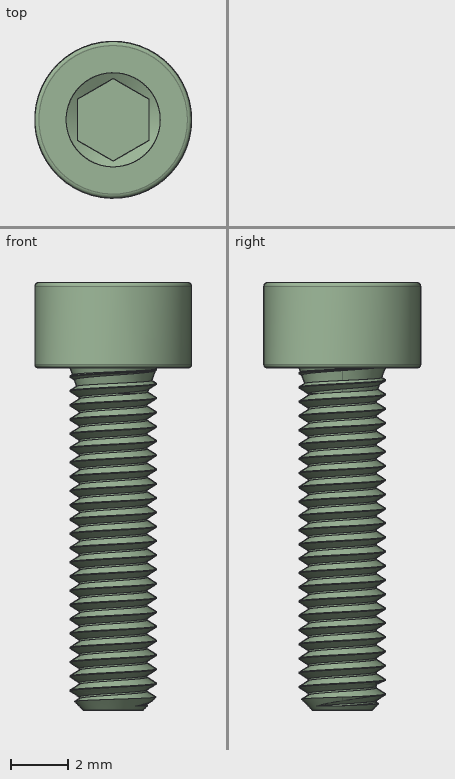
import cadquery as cq
import math

total_length = 15.0
head_diameter = 5.5
head_height = 3.0
head_top_round = 0.15
head_bottom_round = 0.12

thread_diameter = 3.03
root_diameter = 2.38
pitch = total_length / 30
crest_width = 0.03
root_width = 0.06
cutter_overshoot = 0.02
tip_diameter = 2.08
tip_chamfer_height = 0.48
groove_start_below_tip = 0.81
neck_height = 1.05
neck_end_diameter = 2.28

hex_across_flats = 2.5
socket_depth = 1.5
countersink_diameter = 3.3
countersink_slope = 30.0
corner_turn = 30

head_bottom = total_length - head_height
thread_radius = thread_diameter / 2
thread_depth = (thread_diameter - root_diameter) / 2
flank_rise = (pitch - crest_width - root_width) / 2
root_half_width = root_width / 2
groove_run_past_head = pitch


def make_head():
    head = cq.Workplane("XY").workplane(offset=head_bottom).circle(head_diameter / 2).extrude(head_height)
    head = head.faces(">Z").edges().fillet(head_top_round)
    return head.faces("<Z").edges().fillet(head_bottom_round)


def make_threaded_bar():
    """Threaded bar longer than the shank, so that both groove ends fall outside the finished shank."""
    bar_start = -groove_start_below_tip - pitch
    bar_end = head_bottom + groove_run_past_head + 2 * pitch
    bar = cq.Workplane("XY").workplane(offset=bar_start).circle(thread_radius).extrude(bar_end - bar_start)
    return bar.cut(make_groove())


def make_shank_envelope():
    """Shank at the crest diameter with a conical tip."""
    outline = [
        (0, 0),
        (tip_diameter / 2, 0),
        (thread_radius, tip_chamfer_height),
        (thread_radius, head_bottom),
        (0, head_bottom),
    ]
    return cq.Workplane("XZ").polyline(outline).close().revolve(360, (0, 0), (0, 1))


def make_groove():
    """V-shaped right-hand groove that runs past both ends of the shank."""
    root_radius = root_diameter / 2
    outer_radius = thread_radius + cutter_overshoot
    outer_half_width = root_half_width + flank_rise * (outer_radius - root_radius) / thread_depth
    profile = [
        (root_radius, -root_half_width),
        (outer_radius, -outer_half_width),
        (outer_radius, outer_half_width),
        (root_radius, root_half_width),
    ]
    groove_height = groove_start_below_tip + head_bottom + groove_run_past_head
    path = cq.Wire.makeHelix(pitch, groove_height, root_radius)
    groove = cq.Workplane("XZ").polyline(profile).close().sweep(cq.Workplane(path), isFrenet=True)
    return groove.translate((0, 0, -groove_start_below_tip))


def make_neck():
    """Cone under the head that gradually fills the last turns of the groove."""
    outline = [
        (0, head_bottom - neck_height),
        (neck_end_diameter / 2, head_bottom - neck_height),
        (thread_radius, head_bottom),
        (0, head_bottom),
    ]
    return cq.Workplane("XZ").polyline(outline).close().revolve(360, (0, 0), (0, 1))


def make_socket():
    """Hexagonal socket, corners on the Y axis, with a conical lead-in."""
    hexagon = (
        cq.Workplane("XY")
        .workplane(offset=total_length - socket_depth)
        .polygon(6, hex_across_flats / math.cos(math.pi / 6))
        .extrude(socket_depth)
        .rotate((0, 0, 0), (0, 0, 1), corner_turn)
    )
    mouth_radius = countersink_diameter / 2
    cone_depth = mouth_radius * math.tan(math.radians(countersink_slope))
    lead_in = (
        cq.Workplane("XZ")
        .polyline([(0, total_length), (mouth_radius, total_length), (0, total_length - cone_depth)])
        .close()
        .revolve(360, (0, 0), (0, 1))
    )
    return hexagon.union(lead_in)


threaded_shank = make_threaded_bar().intersect(make_shank_envelope()).union(make_neck())
result = threaded_shank.union(make_head()).cut(make_socket())